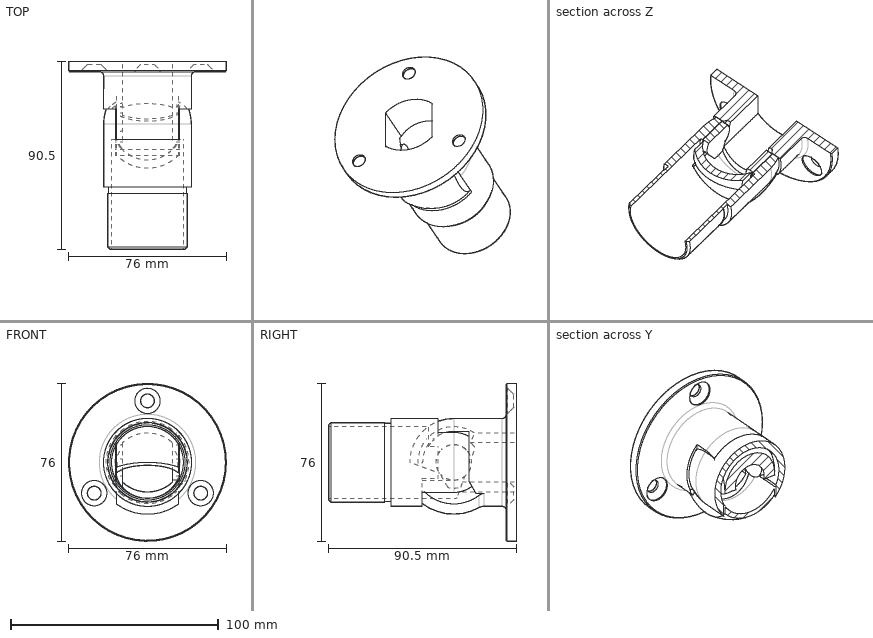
import cadquery as cq
import math

tube_radius = 21.2
bore_radius = 17.3

flange_radius = 38.0
flange_thickness = 5.0
flange_back = 30.2
flange_front = flange_back - flange_thickness
flange_chamfer = 0.5
flange_fillet = 2.0
screw_count = 3
screw_circle_radius = 29.6
screw_hole_radius = 3.25
screw_head_radius = 6.1
screw_head_recess = 0.7

tongue_half_width = 15.0
joint_face = 7.25
relief_start_depth = 9.0
relief_angle = 30.0
socket_tilt = 20.0
lobe_radius = 25.0
lobe_fillet = 5.0
lobe_front = -15.2
channel_half_width = 12.0
channel_depth = 14.2
channel_shoulder_depth = 9.5

fork_half_width = 15.5
notch_floor = -7.5
shoulder = -30.3
groove_width = 3.0
groove_radius = 18.9
spigot_radius = 19.2
spigot_chamfer = 1.1
arm_end = -60.3

insert_radius = 8.5
insert_key_angle = 30.0

beyond = 60.0


def y_cylinder(radius, start, end):
    """Cylinder around the Y axis between two Y positions, start above end."""
    return cq.Workplane("XZ", origin=(0, start, 0)).circle(radius).extrude(start - end)


def box_between(x, y, z):
    """Box given by its (low, high) limits along each axis."""
    size = (x[1] - x[0], y[1] - y[0], z[1] - z[0])
    return cq.Workplane("XY", origin=(x[0], y[0], z[0])).box(*size, centered=False)


def x_prism(points, x_start, x_end):
    """Prism along X with an outline of (y, z) points."""
    return cq.Workplane("YZ", origin=(x_start, 0, 0)).polyline(points).close().extrude(x_end - x_start)


def sphere(radius):
    return cq.Workplane("XY").sphere(radius)


def centred_slab(half_width):
    return box_between((-half_width, half_width), (-beyond, beyond), (-beyond, beyond))


def make_flange():
    """Round plate with a filleted root for the tube, both turned around Y."""
    root_radius = tube_radius + flange_fillet
    arc_inset = flange_fillet * (1 - math.sqrt(0.5))
    flange = (
        cq.Workplane("XY")
        .moveTo(0, flange_back)
        .lineTo(flange_radius, flange_back)
        .lineTo(flange_radius, flange_front + flange_chamfer)
        .lineTo(flange_radius - flange_chamfer, flange_front)
        .lineTo(root_radius, flange_front)
        .threePointArc(
            (tube_radius + arc_inset, flange_front - arc_inset),
            (tube_radius, flange_front - flange_fillet),
        )
        .lineTo(0, flange_front - flange_fillet)
        .close()
        .revolve(360, (0, 0, 0), (0, 1, 0))
    )
    return flange.cut(make_screw_holes())


def make_screw_holes():
    """Countersunk holes with a short straight recess; the first is straight above the pivot."""
    sink_depth = screw_head_radius - screw_hole_radius
    hole = (
        cq.Workplane("XY")
        .moveTo(0, flange_back)
        .lineTo(screw_hole_radius, flange_back)
        .lineTo(screw_hole_radius, flange_front + screw_head_recess + sink_depth)
        .lineTo(screw_head_radius, flange_front + screw_head_recess)
        .lineTo(screw_head_radius, flange_front)
        .lineTo(0, flange_front)
        .close()
        .revolve(360, (0, 0, 0), (0, 1, 0))
        .translate((0, 0, screw_circle_radius))
    )
    holes = cq.Workplane("XY")
    for index in range(screw_count):
        holes = holes.add(hole.rotate((0, 0, 0), (0, 1, 0), index * 360 / screw_count))
    return holes.combine()


def make_joint_space():
    """Space behind the joint face, leaning back below so that the arm can swing."""
    relief_run = (beyond - relief_start_depth) * math.tan(math.radians(relief_angle))
    outline = [
        (joint_face, beyond),
        (joint_face, -relief_start_depth),
        (joint_face + relief_run, -beyond),
        (2 * beyond, -beyond),
        (2 * beyond, beyond),
    ]
    return x_prism(outline, -beyond, beyond)


def make_base_tube():
    """Tube stub that ends on the joint face and its leaning lower part."""
    return y_cylinder(tube_radius, flange_front, 0).intersect(make_joint_space())


def make_lobe():
    """Lower half ball, wider than the tube and blended into it with a concave fillet."""
    blend_centre_radius = tube_radius + lobe_fillet
    blend_start = math.sqrt((lobe_radius + lobe_fillet) ** 2 - blend_centre_radius**2)
    ball_share = lobe_radius / (lobe_radius + lobe_fillet)
    blend_end = (blend_centre_radius * ball_share, blend_start * ball_share)
    to_ball_angle = math.atan2(blend_end[1] - blend_start, blend_end[0] - blend_centre_radius)
    middle_angle = (to_ball_angle % (2 * math.pi) + math.pi) / 2
    blend_middle = (
        blend_centre_radius + lobe_fillet * math.cos(middle_angle),
        blend_start + lobe_fillet * math.sin(middle_angle),
    )
    front_radius = math.sqrt(lobe_radius**2 - lobe_front**2)
    ball = (
        cq.Workplane("XY")
        .moveTo(0, blend_start)
        .lineTo(tube_radius, blend_start)
        .threePointArc(blend_middle, blend_end)
        .threePointArc((lobe_radius, 0), (front_radius, lobe_front))
        .lineTo(0, lobe_front)
        .close()
        .revolve(360, (0, 0, 0), (0, 1, 0))
    )
    lower_half = box_between(
        (-tongue_half_width, tongue_half_width), (-beyond, beyond), (-beyond, 0)
    )
    return ball.intersect(lower_half)


def make_tongue():
    """Flat-sided tongue: ball end above, wider lobe below."""
    dome = sphere(tube_radius).union(y_cylinder(tube_radius, flange_front, 0))
    return dome.intersect(centred_slab(tongue_half_width)).union(make_lobe())


def tilted_half_space(angle):
    """Block ahead of a plane one joint-face distance from the pivot, tipped about X by an angle."""
    block = box_between((-beyond, beyond), (-beyond, joint_face), (-beyond, beyond))
    return block.rotate((0, 0, 0), (1, 0, 0), angle)


def make_socket():
    """Ball-shaped hollow closed behind by a flat tilted wall."""
    return sphere(bore_radius).intersect(tilted_half_space(-socket_tilt))


def make_front_opening():
    """Everything in front of the pivot and under the sloping lower face of the dome."""
    slope = math.tan(math.radians(socket_tilt))
    depth_at_pivot = joint_face / math.cos(math.radians(socket_tilt))
    under_dome = x_prism(
        [
            (0, -depth_at_pivot),
            (-beyond, beyond * slope - depth_at_pivot),
            (-beyond, -beyond),
            (0, -beyond),
        ],
        -beyond,
        beyond,
    )
    bore = y_cylinder(bore_radius, 0, -beyond)
    ahead_of_lobe = box_between((-beyond, beyond), (-beyond, lobe_front), (-beyond, beyond))
    return bore.union(ahead_of_lobe).intersect(under_dome)


def make_cable_channel():
    """Flat-sided passage with arched floor and roof, from the pivot out through the flange."""
    return (
        cq.Workplane("XZ", origin=(0, flange_back, 0))
        .moveTo(-channel_half_width, -channel_shoulder_depth)
        .threePointArc((0, -channel_depth), (channel_half_width, -channel_shoulder_depth))
        .lineTo(channel_half_width, channel_shoulder_depth)
        .threePointArc((0, channel_depth), (-channel_half_width, channel_shoulder_depth))
        .close()
        .extrude(flange_back)
    )


def make_insert_recess():
    """Round seat for the two pivot discs, reaching the inner faces of the fork."""
    return (
        cq.Workplane("YZ", origin=(-fork_half_width, 0, 0))
        .circle(insert_radius)
        .extrude(2 * fork_half_width)
    )


def make_base():
    solid = make_flange().union(make_base_tube()).union(make_tongue())
    hollows = (
        make_socket(),
        make_front_opening(),
        make_cable_channel(),
        make_insert_recess(),
    )
    for hollow in hollows:
        solid = solid.cut(hollow)
    return solid


def make_arm():
    """Forked tube with a ball-shaped fork end and a stepped spigot."""
    groove_end = shoulder - groove_width
    spigot = y_cylinder(spigot_radius, groove_end, arm_end).faces("<Y").chamfer(spigot_chamfer)
    solid = (
        y_cylinder(tube_radius, 0, shoulder)
        .union(sphere(tube_radius))
        .union(y_cylinder(groove_radius, shoulder, groove_end))
        .union(spigot)
    )
    fork_x = (-fork_half_width, fork_half_width)
    upper_notch = box_between(fork_x, (notch_floor, beyond), (0, beyond))
    lower_notch = box_between(fork_x, (lobe_front, beyond), (-beyond, 0))
    ball_seat = sphere(tube_radius).intersect(centred_slab(fork_half_width))
    bore = y_cylinder(bore_radius, 0, arm_end).cut(
        box_between((-beyond, beyond), (notch_floor, beyond), (-beyond, beyond))
    )
    for hollow in (make_joint_space(), upper_notch, lower_notch, ball_seat, bore):
        solid = solid.cut(hollow)
    return solid


def make_round_insert():
    """Pivot disc lying against the inside of the +X fork cheek."""
    length = fork_half_width - channel_half_width
    return cq.Workplane("YZ", origin=(channel_half_width, 0, 0)).circle(insert_radius).extrude(length)


def make_keyed_insert():
    """Pivot disc on the -X side with a key whose leaning front face is tangent to the disc."""
    disc = make_round_insert().mirror("YZ")
    angle = math.radians(insert_key_angle)
    tangent = (-insert_radius * math.cos(angle), -insert_radius * math.sin(angle))
    foot = (
        tangent[0] + beyond * math.sin(angle),
        tangent[1] - beyond * math.cos(angle),
    )
    key = x_prism(
        [tangent, foot, (foot[0], 0), (0, 0)], -tongue_half_width, -channel_half_width
    ).intersect(make_socket())
    return disc.union(key)


base = make_base()
arm = make_arm()
round_insert = make_round_insert()
keyed_insert = make_keyed_insert()

result = cq.Compound.makeCompound(
    [body.solids().val() for body in (base, arm, round_insert, keyed_insert)]
)